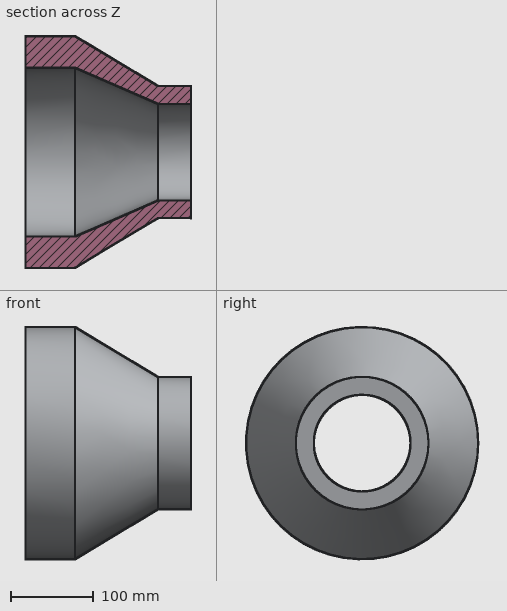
import cadquery as cq

total_length = 200.0
wide_length = 60.0
narrow_length = 40.0
wide_outer_diameter = 280.0
wide_bore_diameter = 203.3
narrow_outer_diameter = 160.0
narrow_bore_diameter = 116.2

taper_end = total_length - narrow_length


def stepped_taper(wide_diameter, narrow_diameter):
    """Solid of a wide cylinder, a cone and a narrow cylinder along X."""
    wide_radius = wide_diameter / 2
    narrow_radius = narrow_diameter / 2
    profile = [
        (0, 0),
        (0, wide_radius),
        (wide_length, wide_radius),
        (taper_end, narrow_radius),
        (total_length, narrow_radius),
        (total_length, 0),
    ]
    return cq.Workplane("XY").polyline(profile).close().revolve(360, (0, 0, 0), (1, 0, 0))


body = stepped_taper(wide_outer_diameter, narrow_outer_diameter)
bore = stepped_taper(wide_bore_diameter, narrow_bore_diameter)

result = body.cut(bore)